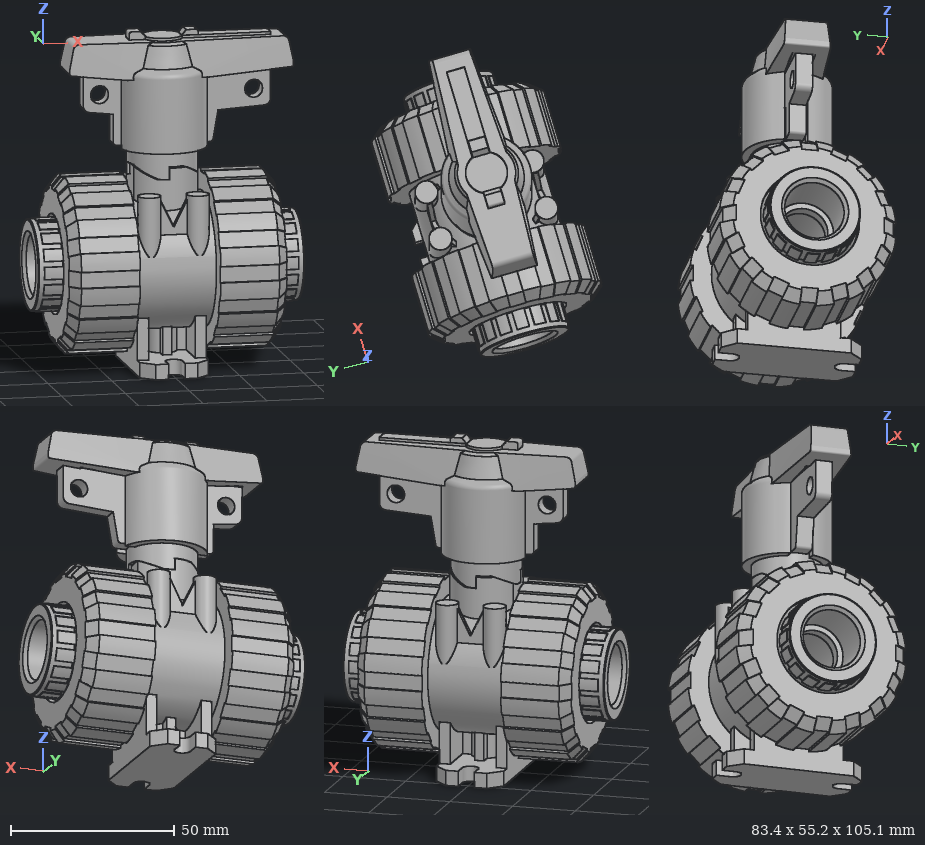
import cadquery as cq
import math


bore_d = 15.0
body_d = 42.0
body_half = 21.0

nut_inner_x = 12.6
nut_outer_x = 34.1
nut_tip_d = 55.4
nut_groove_depth = 0.9
nut_groove_w = 5.0
nut_chamfer_x = 3.0
nut_chamfer_r = 3.6
nut_wall_x = 3.2
nut_hole_d = 31.0
grip_count = 16

conn_end_x = 41.7
conn_ring_d = 28.4
conn_pad_d = 28.9
conn_pad_w = 3.9
conn_pad_inset = 1.9
conn_tip_chamfer = 0.3
socket_d = 18.6
socket_depth = 16.8
socket_chamfer = 1.2

neck_d = 23.0
neck_flat_x = 10.1
cam_top = 31.0
cam_drop = 3.9
cam_quarters = 4
collar_gap = 0.3
ramp_start = -20.0
ramp_end = 27.0

post_d = 7.0
post_x = 7.6
post_y = 16.9
post_top = 23.5
web_w = 1.6
notch_bottom = 13.7
notch_slope = 2.0
gusset_top = 21.7
gusset_reach = 5.7
gusset_turn = 22.0

foot_bottom = -33.1
foot_t = 4.8
foot_x = 10.78
foot_y = 22.03
foot_chamfer = 4.2
foot_slot_w = 5.2
foot_slot_depth = 7.0
wall_t = 3.5
wall_y = 14.5
foot_boss_d = 9.0
cross_wall_t = 2.1
mid_rib_w = 2.9
mid_rib_y = 7.8

sleeve_d = 22.0
sleeve_top = 47.5
skirt_d = 27.9
skirt_bottom = 35.7
shoulder_z = 58.8
shoulder_round_d = 25.7
shoulder_round_z = 60.7
cone_base_d = 23.1
cone_base_z = 61.6
cone_top_d = 19.6
cone_top_z = 68.6
crown_d = 17.9
key_slot_w = 7.2
key_slot_top = 59.4

grip_top = 69.5
grip_mid_z = 58.2
grip_end_z = 59.9
grip_toe_z = 61.8
grip_mid_x = 12.6
grip_left = -30.4
grip_right = 39.9
grip_end_lean = 1.6
grip_top_round = 1.9
grip_toe_round = 0.6
grip_mid_y = 9.7
grip_left_y = 7.5
grip_right_y = 6.8
grip_mid_lean = 1.8
grip_side_lean = 1.0

blade_w = 5.4
blade_left = -25.2
blade_right = 33.4
blade_tail_left = -15.9
blade_tail_right = 17.0
blade_tail_lean = 1.7
blade_tail_z = 36.7
blade_end_z = 47.5
blade_root_z = 46.5
blade_end_round = 2.1
blade_tail_round = 1.0
blade_hole_d = 5.5
blade_hole_z = 52.8
blade_hole_xs = (-20.1, 28.2)

cap_d = 12.8
cap_t = 0.8
tab_top = 72.0
tab_outer_x = 10.8
tab_inner_x = 5.6
tab_slope = 1.5
tab_round = 0.7
strip_w = 5.7

body_r = body_d / 2
nut_tip_r = nut_tip_d / 2
nut_groove_r = nut_tip_r - nut_groove_depth
nut_seat_x = nut_outer_x - nut_wall_x
conn_ring_r = conn_ring_d / 2
conn_pad_r = conn_pad_d / 2
grip_pitch = 360 / grip_count
foot_top = foot_bottom + foot_t
neck_r = neck_d / 2
cap_top = grip_top + cap_t


def block(x0, x1, y0, y1, z0, z1):
    return cq.Workplane("XY").box(x1 - x0, y1 - y0, z1 - z0, centered=False).translate((x0, y0, z0))


def rod(d, z0, z1, x=0.0, y=0.0):
    return cq.Workplane("XY").workplane(offset=z0).center(x, y).circle(d / 2).extrude(z1 - z0)


def pipe_rod(d, x0, x1):
    return cq.Workplane("YZ").workplane(offset=x0).circle(d / 2).extrude(x1 - x0)


def turn_about_pipe(points):
    """Revolve an (x, radius) outline about the pipe axis."""
    return cq.Workplane("XY").polyline(points).close().revolve(360, (0, 0, 0), (1, 0, 0))


def both_ends(part):
    """A part made on the +X side and its copy on the -X side."""
    return [part, part.mirror("YZ")]


def above_cam():
    """Everything above four ramped teeth, each covering a quarter turn."""
    reach = neck_r + 2.1
    low = cam_top - cam_drop
    mean_r = neck_r
    t_start = mean_r * math.sin(math.radians(ramp_start))
    t_end = mean_r * math.sin(math.radians(ramp_end))
    tooth = (
        cq.Workplane("XZ")
        .polyline([
            (-reach, cam_top), (t_start, cam_top), (t_end, low), (reach, low),
            (reach, sleeve_top), (-reach, sleeve_top),
        ])
        .close()
        .extrude(2 * reach)
        .rotate((0, 0, 0), (0, 0, 1), 45)
    )
    quarter = tooth.intersect(block(0, reach, -reach, 0, low, sleeve_top))
    solid = quarter
    for i in range(1, cam_quarters):
        solid = solid.union(quarter.rotate((0, 0, 0), (0, 0, 1), i * 360 / cam_quarters))
    return solid


def make_posts():
    """Four posts, a notched web between each pair and an inward gusset on each post."""
    notch_half = (post_top - notch_bottom) / notch_slope
    notch = (
        cq.Workplane("XZ")
        .polyline([(0, notch_bottom), (notch_half, post_top), (-notch_half, post_top)])
        .close()
        .extrude(body_r, both=True)
    )
    web = block(-post_x, post_x, post_y - web_w / 2, post_y + web_w / 2, 0, post_top).cut(notch)
    gusset = (
        cq.Workplane("YZ")
        .polyline([(0, 0), (0, post_top), (-post_d / 2, gusset_top), (-gusset_reach, notch_bottom), (-gusset_reach, 0)])
        .close()
        .extrude(web_w / 2, both=True)
        .rotate((0, 0, 0), (0, 0, 1), -gusset_turn)
        .translate((-post_x, post_y, 0))
    )
    corner = rod(post_d, 0, post_top, -post_x, post_y).union(gusset)
    pair = web.union(corner).union(corner.mirror("YZ"))
    return pair.union(pair.mirror("XZ"))


def make_foot():
    plate = block(-foot_x, foot_x, -foot_y, foot_y, foot_bottom, foot_top)
    plate = plate.edges("|Z").chamfer(foot_chamfer)
    slot_centre = foot_y - foot_slot_depth + foot_slot_w / 2
    slot = rod(foot_slot_w, foot_bottom, foot_top, 0, slot_centre).union(
        block(-foot_slot_w / 2, foot_slot_w / 2, slot_centre, foot_y, foot_bottom, foot_top)
    )
    foot = plate.cut(slot).cut(slot.mirror("XZ"))
    wall = block(foot_x - wall_t, foot_x, -wall_y, wall_y, foot_bottom, 0)
    foot = foot.union(wall).union(wall.mirror("YZ"))
    foot = foot.union(rod(foot_boss_d, foot_bottom, 0))
    foot = foot.union(block(-foot_x, foot_x, -cross_wall_t / 2, cross_wall_t / 2, foot_bottom, 0))
    return foot.union(block(-mid_rib_w / 2, mid_rib_w / 2, -mid_rib_y, mid_rib_y, foot_bottom, 0))


def make_body(cam):
    collar_top = cam_top - collar_gap
    collar = rod(neck_d, 0, collar_top).intersect(
        block(-neck_flat_x, neck_flat_x, -neck_r, neck_r, 0, collar_top)
    )
    body = pipe_rod(body_d, -body_half, body_half).union(collar.cut(cam))
    body = body.union(make_posts()).union(make_foot())
    return body.cut(pipe_rod(bore_d, -body_half, body_half))


def make_nut():
    chamfer_x = nut_outer_x - nut_chamfer_x
    nut = turn_about_pipe([
        (nut_inner_x, 0), (nut_inner_x, nut_tip_r), (chamfer_x, nut_tip_r),
        (nut_outer_x, nut_tip_r - nut_chamfer_r), (nut_outer_x, 0),
    ])
    groove = (
        cq.Workplane("XZ")
        .polyline([
            (nut_inner_x, nut_groove_r), (chamfer_x, nut_groove_r),
            (nut_outer_x, nut_groove_r - nut_chamfer_r), (nut_outer_x, nut_tip_r + 1),
            (nut_inner_x, nut_tip_r + 1),
        ])
        .close()
        .extrude(nut_groove_w / 2, both=True)
    )
    for i in range(grip_count):
        nut = nut.cut(groove.rotate((0, 0, 0), (1, 0, 0), i * grip_pitch))
    nut = nut.cut(pipe_rod(body_d, nut_inner_x, nut_seat_x))
    return nut.cut(pipe_rod(nut_hole_d, nut_seat_x, nut_outer_x))


def make_connector():
    conn = turn_about_pipe([
        (body_half, 0), (body_half, body_r), (nut_seat_x, body_r), (nut_seat_x, nut_hole_d / 2),
        (nut_outer_x, conn_ring_r), (conn_end_x - conn_tip_chamfer, conn_ring_r),
        (conn_end_x, conn_ring_r - conn_tip_chamfer), (conn_end_x, 0),
    ])
    pad_end = conn_end_x - conn_pad_inset
    pad_disc = pipe_rod(conn_pad_d, nut_seat_x, pad_end)
    pad_bar = block(nut_seat_x, pad_end, -conn_pad_w / 2, conn_pad_w / 2, conn_ring_r - 1, conn_pad_r)
    pad = pad_bar.intersect(pad_disc)
    for i in range(grip_count):
        conn = conn.union(pad.rotate((0, 0, 0), (1, 0, 0), i * grip_pitch))
    socket_r = socket_d / 2
    passage = turn_about_pipe([
        (body_half, 0), (body_half, bore_d / 2), (conn_end_x - socket_depth, bore_d / 2),
        (conn_end_x - socket_depth, socket_r), (conn_end_x - socket_chamfer, socket_r),
        (conn_end_x, socket_r + socket_chamfer), (conn_end_x, 0),
    ])
    return conn.cut(passage)


def make_hub():
    """Skirt with a rounded shoulder and a conical crown."""
    skirt_r = skirt_d / 2
    return (
        cq.Workplane("XZ")
        .moveTo(0, skirt_bottom)
        .lineTo(skirt_r, skirt_bottom)
        .lineTo(skirt_r, shoulder_z)
        .tangentArcPoint((shoulder_round_d / 2, shoulder_round_z), relative=False)
        .lineTo(cone_base_d / 2, cone_base_z)
        .lineTo(cone_top_d / 2, cone_top_z)
        .lineTo(crown_d / 2, grip_top)
        .lineTo(0, grip_top)
        .close()
        .revolve(360, (0, 0, 0), (0, 1, 0))
    )


def make_grip():
    """Long bar, widest at the middle, with leaning sides and a raised underside at the ends."""
    def plan(left, mid, right):
        return [
            (grip_left, -left), (0, -mid), (grip_right, -right),
            (grip_right, right), (0, mid), (grip_left, left),
        ]

    bar = (
        cq.Workplane("XY")
        .workplane(offset=grip_mid_z)
        .polyline(plan(grip_left_y, grip_mid_y, grip_right_y))
        .close()
        .workplane(offset=grip_top - grip_mid_z)
        .polyline(plan(grip_left_y - grip_side_lean, grip_mid_y - grip_mid_lean, grip_right_y - grip_side_lean))
        .close()
        .loft(ruled=True)
    )
    profile = (
        cq.Workplane("XZ")
        .polyline([
            (grip_left, grip_end_z), (-grip_mid_x, grip_mid_z), (grip_mid_x, grip_mid_z),
            (grip_right, grip_end_z), (grip_right, grip_toe_z), (grip_right - grip_end_lean, grip_top),
            (grip_left + grip_end_lean, grip_top), (grip_left, grip_toe_z),
        ])
        .close()
        .extrude(grip_mid_y + 1, both=True)
    )
    profile = profile.edges("|Y").edges(">Z").fillet(grip_top_round)
    toe_band = cq.selectors.BoxSelector(
        (grip_left - 1, -skirt_d, grip_end_z - 0.5), (grip_right + 1, skirt_d, grip_end_z + 0.5)
    )
    profile = profile.edges("|Y").edges(toe_band).fillet(grip_toe_round)
    return bar.intersect(profile)


def make_blade():
    """Flat key under the grip, with a hole near each end and a tail beside the skirt."""
    blade = (
        cq.Workplane("XZ")
        .polyline([
            (blade_left, grip_end_z), (blade_left, blade_end_z), (blade_tail_left, blade_root_z),
            (blade_tail_left, blade_tail_z), (blade_tail_right - blade_tail_lean, blade_tail_z),
            (blade_tail_right, blade_root_z), (blade_right, blade_end_z), (blade_right, grip_end_z),
        ])
        .close()
        .extrude(blade_w / 2, both=True)
    )
    blade = blade.edges("|Y").edges("<Z").fillet(blade_tail_round)
    ends = cq.selectors.BoxSelector
    for x in (blade_left, blade_right):
        corner = ends((x - 1, -blade_w, blade_end_z - 1), (x + 1, blade_w, blade_end_z + 1))
        blade = blade.edges("|Y").edges(corner).fillet(blade_end_round)
    holes = (
        cq.Workplane("XZ")
        .pushPoints([(x, blade_hole_z) for x in blade_hole_xs])
        .circle(blade_hole_d / 2)
        .extrude(blade_w, both=True)
    )
    return blade.cut(holes)


def make_top_marks():
    """Round cap, two tabs beside it and a low strip along the longer arm."""
    tab = (
        cq.Workplane("XZ")
        .polyline([
            (tab_inner_x, grip_top), (tab_outer_x, grip_top), (tab_outer_x, tab_top),
            (tab_inner_x + tab_slope, tab_top), (tab_inner_x, cap_top),
        ])
        .close()
        .extrude(blade_w / 2, both=True)
    )
    tab = tab.edges("|Y and >X and >Z").fillet(tab_round)
    strip = block(0, blade_right, -strip_w / 2, strip_w / 2, grip_top, cap_top)
    return rod(cap_d, grip_top, cap_top).union(strip).union(tab).union(tab.mirror("YZ"))


def make_handle(cam):
    slot_y = key_slot_w / 2
    slot = block(-skirt_d, skirt_d, -slot_y, slot_y, skirt_bottom, key_slot_top)
    sleeve = rod(sleeve_d, cam_top - cam_drop, sleeve_top).intersect(cam)
    handle = make_hub().union(make_grip()).cut(slot)
    return handle.union(sleeve).union(make_blade()).union(make_top_marks())


cam = above_cam()
body = make_body(cam)
nuts = both_ends(make_nut())
connectors = both_ends(make_connector())
handle = make_handle(cam)

result = cq.Compound.makeCompound(
    [body.val(), handle.val()] + [nut.val() for nut in nuts] + [conn.val() for conn in connectors]
)